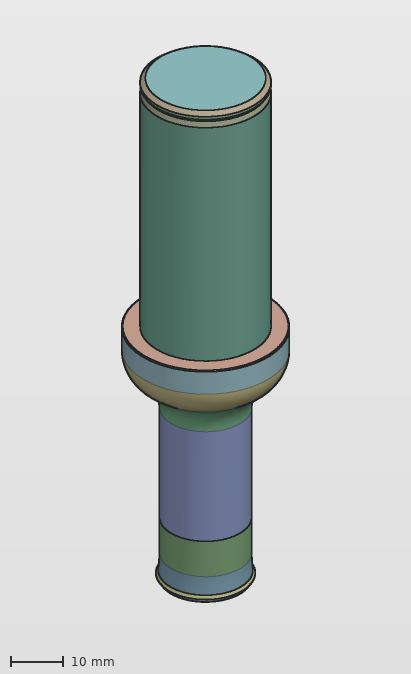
import cadquery as cq
import math

TOTAL_HEIGHT = 113.0
COLLAR_TOP = 57.2
COLLAR_BOTTOM = 52.0
BODY_SPLIT = 14.2
FLARE_TOP = 6.3

SHANK_RADIUS = 25.0 / 2
TOP_CHAMFER_WIDTH = 1.0
TOP_CHAMFER_HEIGHT = 0.8
TOP_LAND_HEIGHT = 0.7
GROOVE_DEPTH = 0.5
GROOVE_UPPER_HEIGHT = 0.7
GROOVE_LOWER_HEIGHT = 1.1

COLLAR_RADIUS = 32.0 / 2
COLLAR_CHAMFER = 0.2
CONVEX_RADIUS = 7.3
CONCAVE_RADIUS = 8.0

NECK_RADIUS = 17.6 / 2
FLARE_BOTTOM = 2.3
FLARE_RADIUS = 9.0
RIM_RADIUS = 9.5
RIM_HEIGHT = 1.6
EDGE_RADIUS = 8.8
EDGE_HEIGHT = 0.6
END_FACE_RADIUS = 11.4 / 2


def make_holder():
    """Shank, collar and neck turned as one solid about Z."""
    radius_sum = CONVEX_RADIUS + CONCAVE_RADIUS
    turn = math.acos(1 - (COLLAR_RADIUS - NECK_RADIUS) / radius_sum)
    blend_bottom = COLLAR_BOTTOM - radius_sum * math.sin(turn)

    def convex_point(angle):
        return (
            COLLAR_RADIUS - CONVEX_RADIUS * (1 - math.cos(angle)),
            COLLAR_BOTTOM - CONVEX_RADIUS * math.sin(angle),
        )

    def concave_point(angle):
        return (
            NECK_RADIUS + CONCAVE_RADIUS * (1 - math.cos(angle)),
            blend_bottom + CONCAVE_RADIUS * math.sin(angle),
        )

    chamfer_bottom = TOTAL_HEIGHT - TOP_CHAMFER_HEIGHT
    groove_top = chamfer_bottom - TOP_LAND_HEIGHT
    groove_root = groove_top - GROOVE_UPPER_HEIGHT
    groove_bottom = groove_root - GROOVE_LOWER_HEIGHT

    return (
        cq.Workplane("XZ")
        .moveTo(0, BODY_SPLIT)
        .lineTo(NECK_RADIUS, BODY_SPLIT)
        .lineTo(NECK_RADIUS, blend_bottom)
        .threePointArc(concave_point(turn / 2), concave_point(turn))
        .threePointArc(convex_point(turn / 2), convex_point(0))
        .lineTo(COLLAR_RADIUS, COLLAR_TOP - COLLAR_CHAMFER)
        .lineTo(COLLAR_RADIUS - COLLAR_CHAMFER, COLLAR_TOP)
        .lineTo(SHANK_RADIUS, COLLAR_TOP)
        .lineTo(SHANK_RADIUS, groove_bottom)
        .lineTo(SHANK_RADIUS - GROOVE_DEPTH, groove_root)
        .lineTo(SHANK_RADIUS, groove_top)
        .lineTo(SHANK_RADIUS, chamfer_bottom)
        .lineTo(SHANK_RADIUS - TOP_CHAMFER_WIDTH, TOTAL_HEIGHT)
        .lineTo(0, TOTAL_HEIGHT)
        .close()
        .revolve(360, (0, 0, 0), (0, 1, 0))
    )


def make_tip():
    """Flared tip that continues the neck down to the end face."""
    flare_height = FLARE_TOP - FLARE_BOTTOM
    flare_growth = FLARE_RADIUS - NECK_RADIUS
    arc_radius = (flare_height**2 + flare_growth**2) / (2 * flare_growth)
    half_angle = math.asin(flare_height / arc_radius) / 2
    flare_middle = (
        NECK_RADIUS + arc_radius * (1 - math.cos(half_angle)),
        FLARE_TOP - arc_radius * math.sin(half_angle),
    )

    return (
        cq.Workplane("XZ")
        .lineTo(END_FACE_RADIUS, 0)
        .lineTo(EDGE_RADIUS, EDGE_HEIGHT)
        .lineTo(RIM_RADIUS, RIM_HEIGHT)
        .lineTo(FLARE_RADIUS, FLARE_BOTTOM)
        .threePointArc(flare_middle, (NECK_RADIUS, FLARE_TOP))
        .lineTo(NECK_RADIUS, BODY_SPLIT)
        .lineTo(0, BODY_SPLIT)
        .close()
        .revolve(360, (0, 0, 0), (0, 1, 0))
    )


holder = make_holder()
tip = make_tip()

result = cq.Compound.makeCompound([holder.val(), tip.val()])